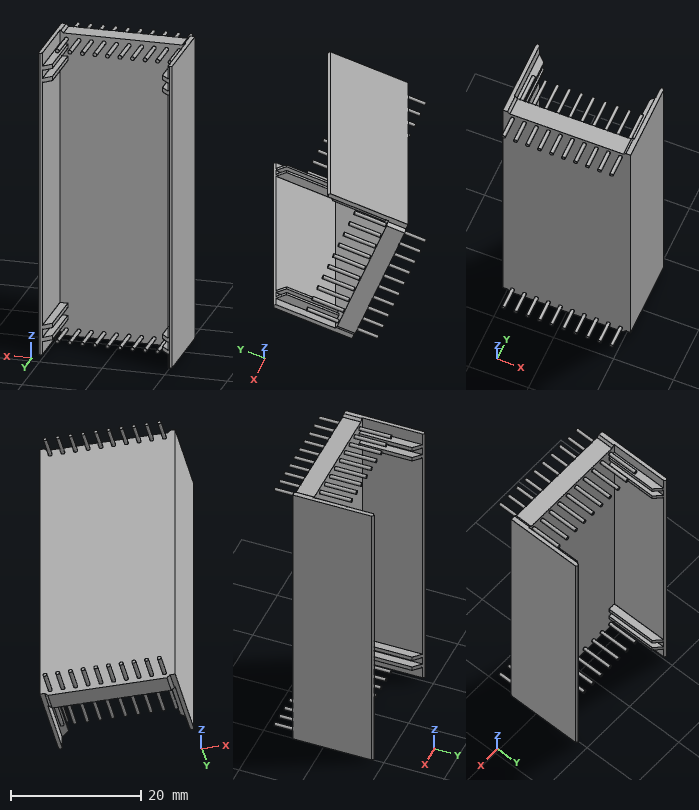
import cadquery as cq

WIDTH = 21.4
TOTAL_HEIGHT = 50.35
BODY_DEPTH = 13.45
WALL_THICKNESS = 0.65
FLOOR_THICKNESS = 3.05

TOP_RECESS = 0.4
FLOOR_END_MARGIN = 0.8
TONGUE_LENGTH = 0.5

RIB_REACH = 1.9
RIB_THICKNESS = 0.7
RIB_SPACING = 2.0
RIB_END_DISTANCE = 2.15

PIN_COUNT = 10
PIN_ROW_LENGTH = 18.05
PIN_DIAMETER = 0.6
PIN_FRONT_LENGTH = 3.7
PIN_BACK_LENGTH = 5.25
PIN_ROW_SPACING = 48.0
PIN_TOP_DISTANCE = 1.35

HALF_WIDTH = WIDTH / 2
PIN_PITCH = PIN_ROW_LENGTH / (PIN_COUNT - 1)
WALL_HEIGHT = TOTAL_HEIGHT - TONGUE_LENGTH
RIDGE_OFFSET = WALL_THICKNESS / 2


def extrude_along_y(outline, depth):
    """Extrude an XZ outline from the front face toward +Y."""
    return cq.Workplane("XZ").polyline(outline).close().extrude(-depth)


def make_floor():
    """Plate with a 45 degree sided recess at the top and a tongue at the bottom."""
    shoulder = HALF_WIDTH - FLOOR_END_MARGIN
    right_side = [
        (shoulder - TONGUE_LENGTH, -TONGUE_LENGTH),
        (shoulder, 0),
        (HALF_WIDTH, 0),
        (HALF_WIDTH, WALL_HEIGHT),
        (shoulder, WALL_HEIGHT),
        (shoulder - TOP_RECESS, WALL_HEIGHT - TOP_RECESS),
    ]
    left_side = [(-x, z) for x, z in reversed(right_side)]
    return extrude_along_y(right_side + left_side, FLOOR_THICKNESS)


def make_side_strip(reach, bottom, height):
    """Strip on the -X side, its free edge cut at 45 degrees on both sides of a ridge."""
    outline = [
        (-HALF_WIDTH, 0),
        (-HALF_WIDTH, BODY_DEPTH - RIDGE_OFFSET),
        (-HALF_WIDTH + RIDGE_OFFSET, BODY_DEPTH),
        (-HALF_WIDTH + reach, BODY_DEPTH - (reach - RIDGE_OFFSET)),
        (-HALF_WIDTH + reach, 0),
    ]
    return cq.Workplane("XY", origin=(0, 0, bottom)).polyline(outline).close().extrude(height)


def make_side_wall():
    """Wall on the -X side with a pair of guide ribs near each end."""
    wall = make_side_strip(WALL_THICKNESS, 0, WALL_HEIGHT)
    for end_distance in (RIB_END_DISTANCE, RIB_END_DISTANCE + RIB_SPACING):
        upper_rib_bottom = WALL_HEIGHT - end_distance - RIB_THICKNESS
        for bottom in (end_distance, upper_rib_bottom):
            wall = wall.union(make_side_strip(RIB_REACH, bottom, RIB_THICKNESS))
    return wall


def make_pins():
    """Two rows of round pins running along Y through the floor."""
    row_center = WALL_HEIGHT - PIN_TOP_DISTANCE - PIN_ROW_SPACING / 2
    length = PIN_FRONT_LENGTH + FLOOR_THICKNESS + PIN_BACK_LENGTH
    return (
        cq.Workplane("XZ", origin=(0, -PIN_FRONT_LENGTH, row_center))
        .rarray(PIN_PITCH, PIN_ROW_SPACING, PIN_COUNT, 2)
        .circle(PIN_DIAMETER / 2)
        .extrude(-length)
    )


side_wall = make_side_wall()
result = make_floor().union(side_wall).union(side_wall.mirror("YZ")).union(make_pins())